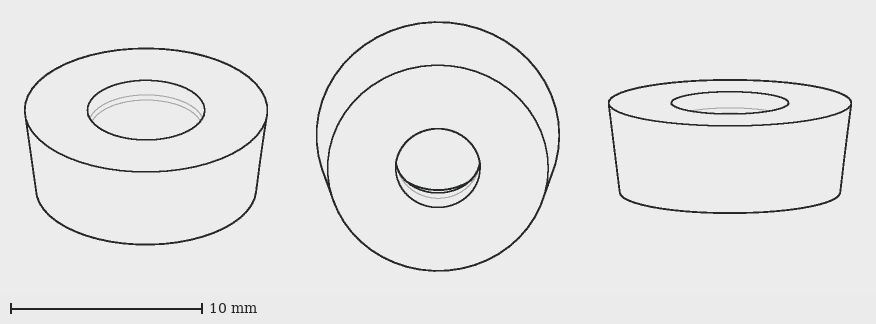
import cadquery as cq
import math

top_radius = 6.35
thickness = 4.76
relief_angle = math.radians(7)
bottom_radius = top_radius - thickness * math.tan(relief_angle)

entry_radius = 3.06
throat_radius = 4.4 / 2
throat_depth = 3.4
flare_radius = 4.01
blend_radius = 0.46
flare_angle = math.radians(35)


def flare_point(angle):
    """Point on the flare, which is tangent to the throat wall at angle zero."""
    radius = throat_radius + flare_radius * (1 - math.cos(angle))
    height = thickness - throat_depth + flare_radius * math.sin(angle)
    return radius, height


flare_top = flare_point(flare_angle)


def blend_point(angle):
    """Point on the blend, which is tangent to the flare and vertical at angle zero."""
    radius = flare_top[0] + blend_radius * (math.cos(angle) - math.cos(flare_angle))
    height = flare_top[1] + blend_radius * (math.sin(flare_angle) - math.sin(angle))
    return radius, height


half_section = (
    cq.Workplane("XZ")
    .moveTo(throat_radius, 0)
    .lineTo(bottom_radius, 0)
    .lineTo(top_radius, thickness)
    .lineTo(entry_radius, thickness)
    .lineTo(*blend_point(0))
    .threePointArc(blend_point(flare_angle / 2), flare_top)
    .threePointArc(flare_point(flare_angle / 2), flare_point(0))
    .close()
)

result = half_section.revolve(360, (0, 0, 0), (0, 1, 0))